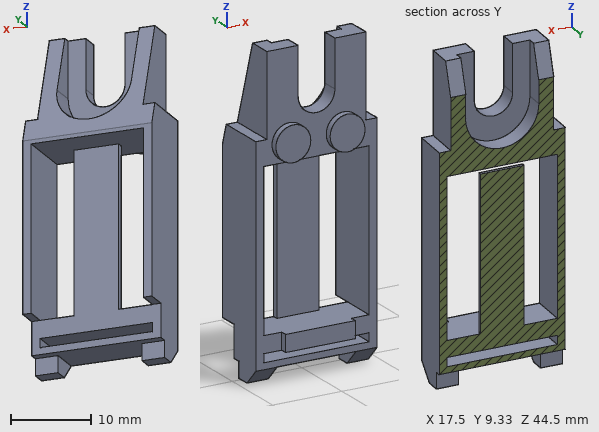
import cadquery as cq

body_width = 17.5
body_depth = 8.35
body_height = 44.45
pad_height = 0.98

top_depth = 3.6
slope_bottom = 29.75
shelf_depth = 5.45
foot_depth = 4.25
foot_chamfer_run = 2.2

fork_width = 14.3
shoulder_height = 32.75
slot_width = 5.3
slot_center_height = 37.68
recess_width = 10.1
recess_center_height = 36.75
recess_floor_depth = 2.55

round_pad_diameter = 5.0
round_pad_spacing = 7.8
round_pad_center_height = 31.9

opening_width = 15.2
window_bottom = 6.8
window_top = 29.25
lower_slot_bottom = 3.2
lower_slot_top = 4.4

tongue_width = 6.1
tongue_top = 28.7
tongue_front = 4.6
crossbar_pad_width = 10.05

foot_height = 2.25
foot_width = 3.05


def box(width, y_front, y_back, z_bottom, z_top, x_center=0):
    """Box spanning the given depths and heights, centred on x_center."""
    size = (width, y_back - y_front, z_top - z_bottom)
    return (
        cq.Workplane("XY")
        .box(*size, centered=(True, False, False))
        .translate((x_center, y_front, z_bottom))
    )


def body():
    """Side profile with sloped back, stepped lower back and chamfered toe."""
    profile = [
        (0, foot_height),
        (foot_chamfer_run, 0),
        (foot_depth, 0),
        (foot_depth, foot_height),
        (shelf_depth, foot_height),
        (shelf_depth, window_bottom),
        (body_depth, window_bottom),
        (body_depth, slope_bottom),
        (top_depth, body_height),
        (0, body_height),
    ]
    return cq.Workplane("YZ").polyline(profile).close().extrude(body_width / 2, both=True)


def open_top_slot(width, center_height, y_front):
    """Round-bottomed slot open at the top, running from y_front through the back."""
    radius = width / 2
    return (
        cq.Workplane("XZ", origin=(0, y_front, 0))
        .moveTo(-radius, body_height)
        .lineTo(-radius, center_height)
        .threePointArc((0, center_height - radius), (radius, center_height))
        .lineTo(radius, body_height)
        .close()
        .extrude(y_front - body_depth)
    )


def round_pads():
    """Pair of discs standing proud of the front face."""
    return (
        cq.Workplane("XZ")
        .pushPoints([(side * round_pad_spacing / 2, round_pad_center_height) for side in (-1, 1)])
        .circle(round_pad_diameter / 2)
        .extrude(pad_height)
    )


result = body()

shoulder_width = (body_width - fork_width) / 2
for side in (-1, 1):
    shoulder_center = side * (body_width - shoulder_width) / 2
    result = result.cut(box(shoulder_width, 0, body_depth, shoulder_height, body_height, shoulder_center))

result = result.cut(open_top_slot(slot_width, slot_center_height, 0))
result = result.cut(open_top_slot(recess_width, recess_center_height, recess_floor_depth))

result = result.cut(box(opening_width, 0, body_depth, window_bottom, window_top))
result = result.cut(box(opening_width, 0, body_depth, lower_slot_bottom, lower_slot_top))
result = result.cut(box(body_width - 2 * foot_width, 0, body_depth, 0, foot_height))

result = result.union(box(tongue_width, tongue_front, shelf_depth, lower_slot_top, tongue_top))

result = result.union(round_pads())
result = result.union(box(crossbar_pad_width, -pad_height, 0, lower_slot_top, window_bottom))